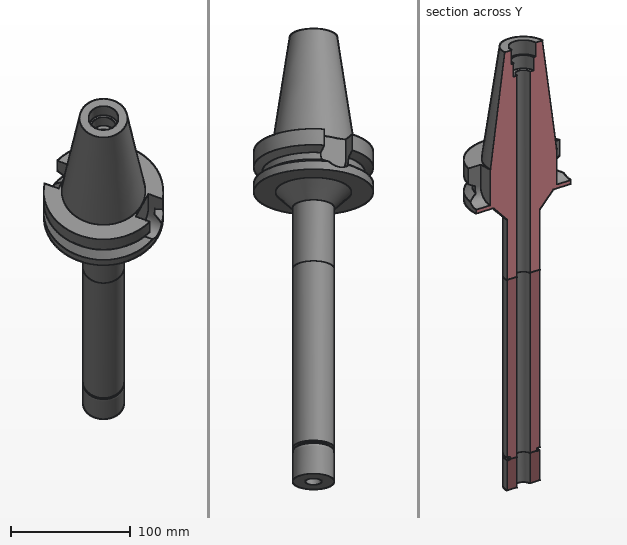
import cadquery as cq

total_height = 402.0
gauge_height = 300.0
flange_top = 298.5
flange_bottom = 262.0
groove_top = 284.0
groove_floor_top = 280.0
groove_floor_bottom = 274.0
groove_bottom = 269.5
sleeve_top = 192.5
neck_top = 30.0
nut_top = 27.7

taper_small_radius = 20.0
taper_large_radius = 35.0
flange_radius = 100.0 / 2
groove_floor_radius = 43.0
shank_radius = 35.0 / 2
collar_radius = 31.7
neck_radius = 14.5
bore_radius = 7.0

collar_bottom = flange_bottom - (collar_radius - shank_radius)

entry_radius = 12.5
entry_depth = 13.0
step_radius = 10.5
step_depth = 12.0

slot_width = 25.7
slot_bottom = 266.0
slot_floor_distance = 35.5

nut_chamfer_height = 2.5
nut_chamfer_width = 0.5


def cylinder(radius, bottom, top):
    """Solid cylinder on the Z axis between two heights."""
    return cq.Workplane("XY").workplane(offset=bottom).circle(radius).extrude(top - bottom)


def drive_slot(side):
    """Round-bottomed slot cutter running outward along X; side is +1 or -1."""
    half_width = slot_width / 2
    arc_height = slot_bottom + half_width
    return (
        cq.Workplane("YZ")
        .workplane(offset=side * slot_floor_distance)
        .moveTo(-half_width, gauge_height)
        .lineTo(-half_width, arc_height)
        .threePointArc((0, slot_bottom), (half_width, arc_height))
        .lineTo(half_width, gauge_height)
        .close()
        .extrude(side * flange_radius)
    )


def make_holder():
    """Taper, grooved flange, collar and upper shank, with a stepped bore."""
    body = (
        cq.Workplane("XZ")
        .moveTo(0, sleeve_top)
        .lineTo(shank_radius, sleeve_top)
        .lineTo(shank_radius, collar_bottom)
        .lineTo(collar_radius, flange_bottom)
        .lineTo(flange_radius, flange_bottom)
        .lineTo(flange_radius, groove_bottom)
        .lineTo(groove_floor_radius, groove_floor_bottom)
        .lineTo(groove_floor_radius, groove_floor_top)
        .lineTo(flange_radius, groove_top)
        .lineTo(flange_radius, flange_top)
        .lineTo(taper_large_radius, flange_top)
        .lineTo(taper_large_radius, gauge_height)
        .lineTo(taper_small_radius, total_height)
        .lineTo(0, total_height)
        .close()
        .revolve(360, (0, 0), (0, 1))
    )
    for side in (-1, 1):
        body = body.cut(drive_slot(side))

    entry_floor = total_height - entry_depth
    step_floor = entry_floor - step_depth
    body = body.cut(cylinder(entry_radius, entry_floor, total_height))
    body = body.cut(cylinder(step_radius, step_floor, entry_floor))
    return body.cut(cylinder(bore_radius, sleeve_top, step_floor))


def make_sleeve():
    """Lower shank, ending in a short neck that rests on the nut."""
    body = cylinder(shank_radius, neck_top, sleeve_top)
    body = body.union(cylinder(neck_radius, nut_top, neck_top))
    return body.cut(cylinder(bore_radius, nut_top, sleeve_top))


def make_nut():
    """Bored end nut with a steep chamfer around its upper rim."""
    body = (
        cq.Workplane("XZ")
        .moveTo(bore_radius, 0)
        .lineTo(shank_radius, 0)
        .lineTo(shank_radius, nut_top - nut_chamfer_height)
        .lineTo(shank_radius - nut_chamfer_width, nut_top)
        .lineTo(bore_radius, nut_top)
        .close()
        .revolve(360, (0, 0), (0, 1))
    )
    return body


holder = make_holder()
sleeve = make_sleeve()
nut = make_nut()

result = cq.Compound.makeCompound([holder.val(), sleeve.val(), nut.val()])